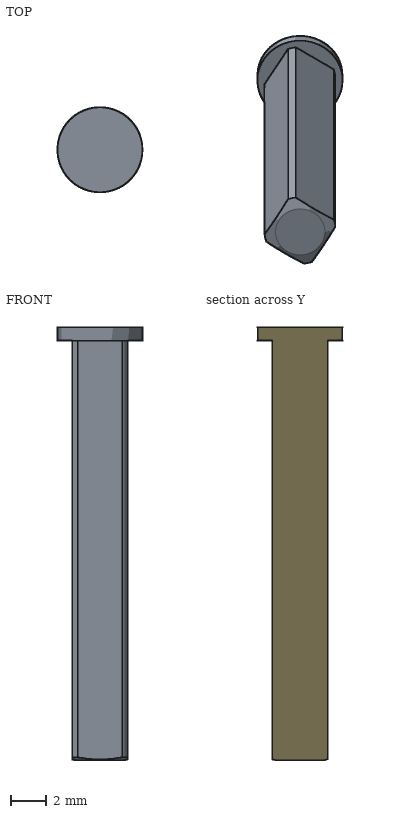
import cadquery as cq

total_length = 24.42
head_diameter = 4.8
head_thickness = 0.75

shank_across_flats = 3.15
shank_diameter = 4.03
tip_diameter = 2.78
tip_height = 0.17

shank_length = total_length - head_thickness


def make_shank():
    """Round bar with a shallow conical tip, squared by four flats."""
    tip_inset = (shank_diameter - tip_diameter) / 2
    bar = (
        cq.Workplane("XY")
        .circle(shank_diameter / 2)
        .extrude(shank_length)
        .faces("<Z")
        .chamfer(tip_height, tip_inset)
    )
    square = cq.Workplane("XY").rect(shank_across_flats, shank_across_flats).extrude(shank_length)
    return bar.intersect(square)


def make_head():
    """Flat round head on top of the shank."""
    return (
        cq.Workplane("XY")
        .workplane(offset=shank_length)
        .circle(head_diameter / 2)
        .extrude(head_thickness)
    )


result = make_shank().union(make_head())